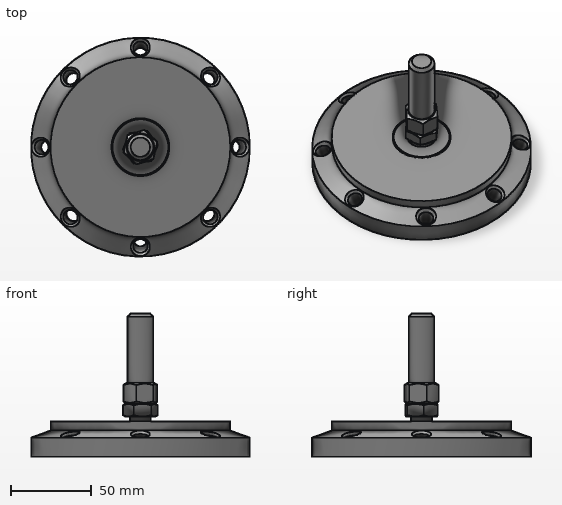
import cadquery as cq
import math

BASE_DIA = 136.0
DECK_DIA = 111.5
RIM_HEIGHT = 12.0
DECK_HEIGHT = 22.0
CONE_ANGLE = 20.0
CONE_RISE = (BASE_DIA - DECK_DIA) / 2 * math.tan(math.radians(CONE_ANGLE))

HOLE_COUNT = 8
DIAGONAL_HOLE_TILT = 14.0
DIAGONAL_MOUTH_DIA = 12.6
HOLE_DIA = 9.0
HOLE_MOUTH_DIA = 12.1
HOLE_RADIUS = (BASE_DIA + DECK_DIA) / 4
DRILL_LENGTH = 27.2
DRILL_CLEARANCE = 2.7

POCKET_DIA = 36.0
INSERT_FACE_DIA = 34.5
INSERT_CHAMFER = (POCKET_DIA - INSERT_FACE_DIA) / 2
POCKET_FLOOR = 2.7
SOCKET_MOUTH_DIA = 17.5

BALL_DIA = 18.0
NECK_DIA = 13.0
SHAFT_DIA = 16.0
SHAFT_TOP = 89.1
SHAFT_CHAMFER = 2.0
BALL_CENTRE = DECK_HEIGHT - math.sqrt((BALL_DIA / 2) ** 2 - (NECK_DIA / 2) ** 2)

ACROSS_FLATS = 19.0
CORNER_RADIUS = ACROSS_FLATS / math.sqrt(3)
HEX_CHAMFER_ANGLE = 30.0
NUT_BOTTOM = 24.9
NUT_HEIGHT = 8.2
NUT_FACE_DIA = 18.2
NUT_TURN = 7.5
STUD_HEX_BOTTOM = NUT_BOTTOM + NUT_HEIGHT
STUD_HEX_HEIGHT = 12.9
STUD_HEX_FACE_DIA = 17.0
STUD_HEX_TURN = 17.0


def cylinder(diameter, bottom, top):
    """Upright cylinder on the Z axis."""
    return cq.Workplane("XY").workplane(offset=bottom).circle(diameter / 2).extrude(top - bottom)


def ball():
    """Sphere shared by the stud and its socket."""
    return cq.Workplane("XY").sphere(BALL_DIA / 2).translate((0, 0, BALL_CENTRE))


def chamfered_hexagon(bottom, height, face_dia, turn):
    """Hexagonal prism with its corners turned down to a round face at both ends."""
    top = bottom + height
    drop = (CORNER_RADIUS - face_dia / 2) * math.tan(math.radians(HEX_CHAMFER_ANGLE))
    prism = (
        cq.Workplane("XY")
        .workplane(offset=bottom)
        .polygon(6, 2 * CORNER_RADIUS)
        .extrude(height)
        .rotate((0, 0, 0), (0, 0, 1), turn)
    )
    turned_envelope = (
        cq.Workplane("XZ")
        .moveTo(0, bottom)
        .lineTo(face_dia / 2, bottom)
        .lineTo(CORNER_RADIUS, bottom + drop)
        .lineTo(CORNER_RADIUS, top - drop)
        .lineTo(face_dia / 2, top)
        .lineTo(0, top)
        .close()
        .revolve(360, (0, 0, 0), (0, 1, 0))
    )
    return prism.intersect(turned_envelope)


def countersunk_drill(tilt, mouth_dia):
    """Tool for one mounting hole on the +X side, leaning outward by the tilt angle."""
    mouth = mouth_dia / 2
    bore = HOLE_DIA / 2
    countersink_depth = mouth - bore
    return (
        cq.Workplane("XZ")
        .moveTo(0, DRILL_CLEARANCE)
        .lineTo(mouth, DRILL_CLEARANCE)
        .lineTo(mouth, 0)
        .lineTo(bore, -countersink_depth)
        .lineTo(bore, -DRILL_LENGTH)
        .lineTo(0, -DRILL_LENGTH)
        .close()
        .revolve(360, (0, 0, 0), (0, 1, 0))
        .rotate((0, 0, 0), (0, 1, 0), tilt)
        .translate((HOLE_RADIUS, 0, RIM_HEIGHT + CONE_RISE / 2))
    )


def make_base():
    """Round flange with a conical shoulder, a centre pocket and tilted mounting holes."""
    base = (
        cq.Workplane("XZ")
        .moveTo(0, 0)
        .lineTo(BASE_DIA / 2, 0)
        .lineTo(BASE_DIA / 2, RIM_HEIGHT)
        .lineTo(DECK_DIA / 2, RIM_HEIGHT + CONE_RISE)
        .lineTo(DECK_DIA / 2, DECK_HEIGHT)
        .lineTo(0, DECK_HEIGHT)
        .close()
        .revolve(360, (0, 0, 0), (0, 1, 0))
    )
    base = base.cut(cylinder(POCKET_DIA, POCKET_FLOOR, DECK_HEIGHT))
    axis_drill = countersunk_drill(CONE_ANGLE, HOLE_MOUTH_DIA)
    diagonal_drill = countersunk_drill(DIAGONAL_HOLE_TILT, DIAGONAL_MOUTH_DIA)
    for index in range(HOLE_COUNT):
        drill = axis_drill if index % 2 == 0 else diagonal_drill
        base = base.cut(drill.rotate((0, 0, 0), (0, 0, 1), index * 360 / HOLE_COUNT))
    return base


def make_insert():
    """Round insert with a chamfered rim, flush with the deck, that holds the ball."""
    insert = cylinder(POCKET_DIA, POCKET_FLOOR, DECK_HEIGHT).faces(">Z").chamfer(INSERT_CHAMFER)
    mouth = cylinder(SOCKET_MOUTH_DIA, BALL_CENTRE, DECK_HEIGHT)
    return insert.cut(ball()).cut(mouth)


def make_stud():
    """Ball, neck, hexagon and plain shaft in one piece."""
    hexagon_top = STUD_HEX_BOTTOM + STUD_HEX_HEIGHT
    neck = cylinder(NECK_DIA, BALL_CENTRE, STUD_HEX_BOTTOM)
    hexagon = chamfered_hexagon(STUD_HEX_BOTTOM, STUD_HEX_HEIGHT, STUD_HEX_FACE_DIA, STUD_HEX_TURN)
    shaft = cylinder(SHAFT_DIA, hexagon_top, SHAFT_TOP).faces(">Z").chamfer(SHAFT_CHAMFER)
    return ball().union(neck).union(hexagon).union(shaft)


def make_nut():
    """Lock nut around the neck, against the stud's hexagon."""
    nut = chamfered_hexagon(NUT_BOTTOM, NUT_HEIGHT, NUT_FACE_DIA, NUT_TURN)
    return nut.cut(cylinder(NECK_DIA, NUT_BOTTOM, STUD_HEX_BOTTOM))


base = make_base()
insert = make_insert()
stud = make_stud()
nut = make_nut()

result = cq.Compound.makeCompound([base.val(), insert.val(), stud.val(), nut.val()])